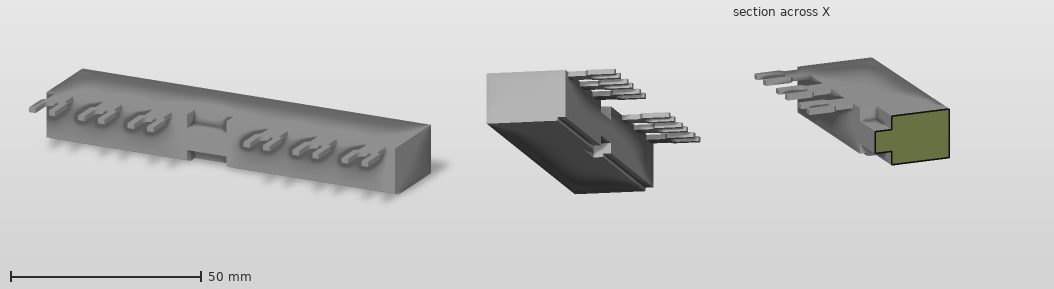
import cadquery as cq

length = 102.2
total_depth = 34.2
height = 13.5
body_depth = 21.3

rebate_depth = 2.1
rebate_height = 0.9

notch_left = 41.2
notch_width = 11.5
notch_depth = 4.7
notch_height = 3.7

fork_length = total_depth - body_depth
fork_thickness = 1.3
fork_width = 7.7
shank_width = 5.3
shank_length = 4.9
shoulder_length = 0.9
slot_width = 3.9
slot_depth = 7.2
fork_pitch = 14.4
forks_per_group = 3
group_starts = (5.1, 68.0)


def box_at(x, y, z, size_x, size_y, size_z):
    """Box with its lowest corner at (x, y, z)."""
    return cq.Workplane("XY").box(size_x, size_y, size_z, centered=False).translate((x, y, z))


def make_body():
    body = box_at(0, 0, 0, length, body_depth, height)
    body = body.cut(box_at(0, 0, 0, length, rebate_depth, rebate_height))
    for notch_bottom in (0, height - notch_height):
        body = body.cut(box_at(notch_left, 0, notch_bottom, notch_width, notch_depth, notch_height))
    return body


def make_fork(center_x):
    """Flat terminal with a sloped shoulder and a round-ended open slot."""
    half_shank = shank_width / 2
    half_fork = fork_width / 2
    slot_radius = slot_width / 2
    shoulder_end = shank_length + shoulder_length
    slot_end = fork_length - slot_depth
    return (
        cq.Workplane("XY")
        .moveTo(-half_shank, 0)
        .lineTo(-half_shank, -shank_length)
        .lineTo(-half_fork, -shoulder_end)
        .lineTo(-half_fork, -fork_length)
        .lineTo(-slot_radius, -fork_length)
        .lineTo(-slot_radius, -slot_end - slot_radius)
        .threePointArc((0, -slot_end), (slot_radius, -slot_end - slot_radius))
        .lineTo(slot_radius, -fork_length)
        .lineTo(half_fork, -fork_length)
        .lineTo(half_fork, -shoulder_end)
        .lineTo(half_shank, -shank_length)
        .lineTo(half_shank, 0)
        .close()
        .extrude(fork_thickness)
        .translate((center_x, 0, height - fork_thickness))
    )


result = make_body()
for group_start in group_starts:
    for index in range(forks_per_group):
        result = result.union(make_fork(group_start + index * fork_pitch))